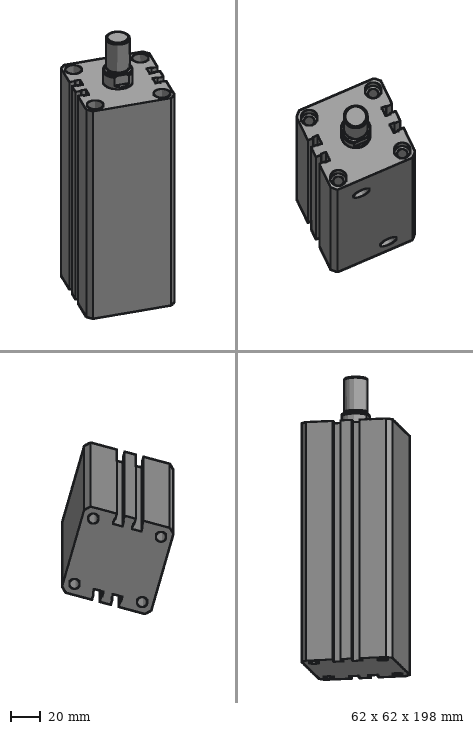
import cadquery as cq

SIDE = 62.0
TOTAL_HEIGHT = 198.0
ROD_LENGTH = 34.8
HOUSING_HEIGHT = TOTAL_HEIGHT - ROD_LENGTH
CORNER_RADIUS = 41.4

BOLT_SPACING = 47.0
BOLT_DIAMETER = 7.0
COUNTERBORE_DIAMETER = 11.0
COUNTERBORE_DEPTH = 7.0

SLOT_OFFSET = 6.5
SLOT_MOUTH_WIDTH = 5.3
SLOT_FLOOR_WIDTH = 6.5
SLOT_MOUTH_DEPTH = 4.2
SLOT_DEPTH = 7.5

PORT_MOUTH_DIAMETER = 12.0
PORT_FLOOR_DIAMETER = 10.9
PORT_DEPTH = 15.8
PORT_OFFSET = 9.9
UPPER_PORT_DROP = 27.0
LOWER_PORT_HEIGHT = 17.2

COLLAR_DIAMETER = 20.0
COLLAR_HEIGHT = 10.0
COLLAR_CHAMFER_WIDTH = 0.5
COLLAR_CHAMFER_HEIGHT = 1.2
UNDERCUT_DIAMETER = 14.0
UNDERCUT_HEIGHT = 1.8
THREAD_DIAMETER = 16.0
THREAD_CHAMFER = 1.0
FLATS_WIDTH = 17.2
FLATS_BOTTOM = 2.8


def make_slot(center_x):
    """Full-height sensor slot cut into the -Y face."""
    half_mouth = SLOT_MOUTH_WIDTH / 2
    half_floor = SLOT_FLOOR_WIDTH / 2
    face_y = -SIDE / 2
    shoulder_y = face_y + SLOT_MOUTH_DEPTH
    floor_y = face_y + SLOT_DEPTH
    return (
        cq.Workplane("XY")
        .polyline([
            (center_x - half_mouth, face_y),
            (center_x + half_mouth, face_y),
            (center_x + half_mouth, shoulder_y),
            (center_x + half_floor, shoulder_y),
            (center_x + half_floor, floor_y),
            (center_x - half_floor, floor_y),
            (center_x - half_floor, shoulder_y),
            (center_x - half_mouth, shoulder_y),
        ])
        .close()
        .extrude(HOUSING_HEIGHT)
    )


def make_port(center_y, center_z):
    """Blind port narrowing from the -X face to a flat floor."""
    return (
        cq.Workplane("XY")
        .polyline([
            (0, 0),
            (0, PORT_MOUTH_DIAMETER / 2),
            (PORT_DEPTH, PORT_FLOOR_DIAMETER / 2),
            (PORT_DEPTH, 0),
        ])
        .close()
        .revolve(360, (0, 0, 0), (1, 0, 0))
        .translate((-SIDE / 2, center_y, center_z))
    )


def make_housing():
    body = cq.Workplane("XY").rect(SIDE, SIDE).extrude(HOUSING_HEIGHT)
    turned_envelope = cq.Workplane("XY").circle(CORNER_RADIUS).extrude(HOUSING_HEIGHT)
    body = body.intersect(turned_envelope)
    body = (
        body.faces(">Z")
        .workplane()
        .rect(BOLT_SPACING, BOLT_SPACING, forConstruction=True)
        .vertices()
        .cboreHole(BOLT_DIAMETER, COUNTERBORE_DIAMETER, COUNTERBORE_DEPTH)
    )
    for center_x in (-SLOT_OFFSET, SLOT_OFFSET):
        slot = make_slot(center_x)
        body = body.cut(slot).cut(slot.mirror("XZ"))
    body = body.cut(make_port(PORT_OFFSET, HOUSING_HEIGHT - UPPER_PORT_DROP))
    body = body.cut(make_port(-PORT_OFFSET, LOWER_PORT_HEIGHT))
    return body


def make_flat_cutter():
    """Removes the +X side of the collar, leaving a flat that runs out downward at 45 degrees."""
    flat_x = FLATS_WIDTH / 2
    rim_x = COLLAR_DIAMETER / 2
    runout = rim_x - flat_x
    return (
        cq.Workplane("XZ")
        .polyline([
            (flat_x, FLATS_BOTTOM),
            (rim_x, FLATS_BOTTOM - runout),
            (rim_x, COLLAR_HEIGHT),
            (flat_x, COLLAR_HEIGHT),
        ])
        .close()
        .extrude(COLLAR_DIAMETER / 2, both=True)
    )


def make_rod():
    """Rod standing on the top face of the housing."""
    collar_radius = COLLAR_DIAMETER / 2
    undercut_radius = UNDERCUT_DIAMETER / 2
    thread_radius = THREAD_DIAMETER / 2
    thread_bottom = COLLAR_HEIGHT + UNDERCUT_HEIGHT
    rod = (
        cq.Workplane("XZ")
        .polyline([
            (0, 0),
            (collar_radius, 0),
            (collar_radius, COLLAR_HEIGHT - COLLAR_CHAMFER_HEIGHT),
            (collar_radius - COLLAR_CHAMFER_WIDTH, COLLAR_HEIGHT),
            (undercut_radius, COLLAR_HEIGHT),
            (undercut_radius, thread_bottom),
            (thread_radius, thread_bottom),
            (thread_radius, ROD_LENGTH - THREAD_CHAMFER),
            (thread_radius - THREAD_CHAMFER, ROD_LENGTH),
            (0, ROD_LENGTH),
        ])
        .close()
        .revolve(360, (0, 0, 0), (0, 1, 0))
    )
    cutter = make_flat_cutter()
    rod = rod.cut(cutter).cut(cutter.mirror("YZ"))
    return rod.translate((0, 0, HOUSING_HEIGHT))


housing = make_housing()
rod = make_rod()

result = cq.Compound.makeCompound([housing.val(), rod.val()])